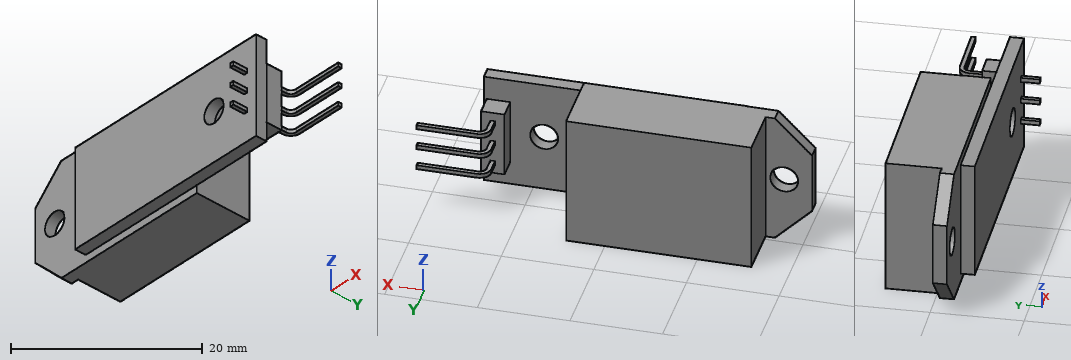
import cadquery as cq

housing_length = 25.0
housing_height = 15.0
housing_depth = 7.47
flange_depth = 1.5
flange_length = 5.0
flange_corner = 4.0
mounting_hole_diameter = 3.0
flange_hole_x = mounting_hole_diameter

board_length = 28.0
board_height = 13.0
board_thickness = 1.5
board_start_x = 7.8
board_hole_x = 29.3

pin_count = 3
pin_pitch = 2.5
pin_width = 0.5
pin_x = 34.25
pin_end_x = 41.75
pin_row_y = 4.95
pin_bend_radius = 1.0
tail_length = 2.0
block_width = 2.55
block_depth = 2.42
block_height = pin_count * pin_pitch

pin_heights = [(i - (pin_count - 1) / 2) * pin_pitch for i in range(pin_count)]


def box_from(x, y, size_x, size_y, size_z):
    """Box starting at x and y, and centred on Z = 0."""
    box = cq.Workplane("XY").box(size_x, size_y, size_z, centered=(False, False, True))
    return box.translate((x, y, 0))


def make_mounting_hole(x):
    """Cutter along Y, long enough to pass through the flange or the board."""
    hole = cq.Workplane("XZ").center(x, 0).circle(mounting_hole_diameter / 2)
    return hole.extrude(flange_depth + board_thickness, both=True)


def make_housing():
    """Case and flange in one piece, with the two outer corners of the flange cut off."""
    flange = box_from(0, 0, housing_length, flange_depth, housing_height)
    flange = flange.edges("|Y and <X").chamfer(flange_corner)
    case = box_from(flange_length, 0, housing_length - flange_length, housing_depth, housing_height)
    return flange.union(case).cut(make_mounting_hole(flange_hole_x))


def make_board():
    """Flat rectangular board with a mounting hole."""
    board = box_from(board_start_x, -board_thickness, board_length, board_thickness, board_height)
    return board.cut(make_mounting_hole(board_hole_x))


def make_block():
    """Insulating block of the header, standing on the board."""
    return box_from(pin_x - block_width / 2, 0, block_width, block_depth, block_height)


def make_bent_pin(z):
    """Square wire rising along +Y from the block, then bent to run along +X."""
    path = (
        cq.Workplane("XY", origin=(0, 0, z))
        .moveTo(pin_x, block_depth)
        .lineTo(pin_x, pin_row_y - pin_bend_radius)
        .radiusArc((pin_x + pin_bend_radius, pin_row_y), pin_bend_radius)
        .lineTo(pin_end_x, pin_row_y)
    )
    section = cq.Workplane("XZ", origin=(pin_x, block_depth, z)).rect(pin_width, pin_width)
    return section.sweep(path)


def make_tail(z):
    """Straight square wire standing out from the -Y face of the board."""
    section = cq.Workplane("XZ", origin=(pin_x, -board_thickness, z)).rect(pin_width, pin_width)
    return section.extrude(tail_length)


housing = make_housing()
board = make_board()
block = make_block()
bent_pins = [make_bent_pin(z) for z in pin_heights]
tails = [make_tail(z) for z in pin_heights]

result = cq.Compound.makeCompound(
    [
        housing.val(),
        board.val(),
        block.val(),
        *[pin.val() for pin in bent_pins],
        *[tail.val() for tail in tails],
    ]
)